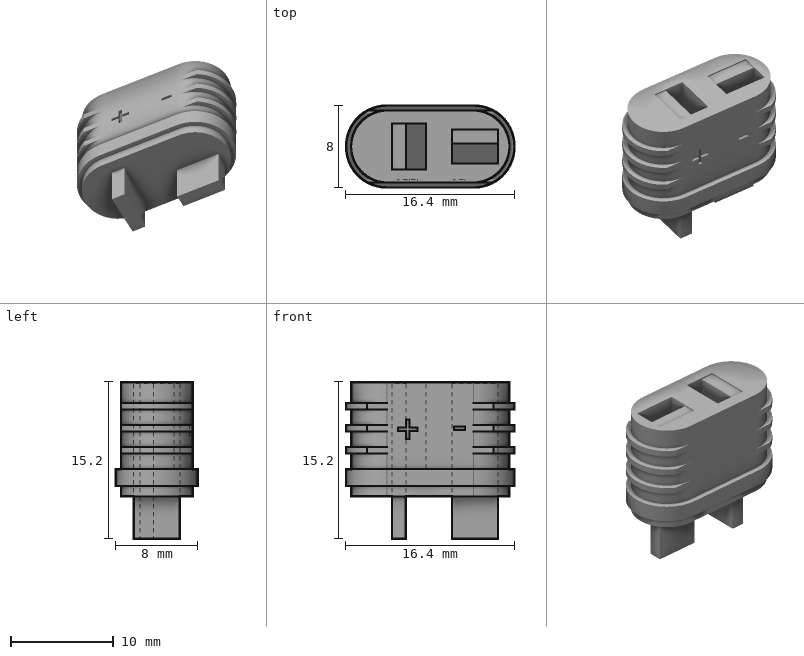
import cadquery as cq

center_spacing = 8.4
body_depth = 7.0
body_height = 11.12
rim = 0.5

flange_bottom = 1.0
flange_height = 1.67
flange_top = flange_bottom + flange_height
flange_depth = body_depth + 2 * rim

rib_count = 3
rib_height = 0.64
rib_gap = 1.5
rib_pitch = rib_height + rib_gap

blade_thickness = 1.35
blade_width = 4.5
overall_height = 15.25
blade_tip = body_height - overall_height
blade_recess = 0.15
blade_height = body_height - blade_recess - blade_tip

socket_span = 3.3
socket_floor = flange_top
positive_socket_left = -3.73
negative_socket_left = 2.1

mark_stroke = 0.35
mark_depth = 0.3
plus_size = 1.9
plus_x = -2.2
plus_z = 6.52
minus_length = 1.08
minus_x = 2.85
minus_z = 6.64


def round_ended_block(depth, bottom, height):
    """Upright block whose round ends share the housing's end axes."""
    return (
        cq.Workplane("XY", origin=(0, 0, bottom))
        .slot2D(center_spacing + depth, depth)
        .extrude(height)
    )


def corner_box(size, corner):
    """Box given by its size and its lowest X, Y, Z corner."""
    return cq.Workplane("XY").box(*size, centered=False).translate(corner)


def grip_rib(bottom):
    """Flange outline trimmed flush with the flat front and back faces."""
    full_rib = round_ended_block(flange_depth, bottom, rib_height)
    trim = cq.Workplane("XY", origin=(0, 0, bottom)).box(
        center_spacing + flange_depth, body_depth, rib_height, centered=(True, True, False)
    )
    return full_rib.intersect(trim)


def front_mark(length, height, x, z):
    """Bar-shaped cutter reaching into the front face."""
    return cq.Workplane("XY").box(length, 2 * mark_depth, height).translate((x, -body_depth / 2, z))


positive_socket_front = -blade_width / 2
negative_socket_front = -socket_span / 2

positive_blade = corner_box(
    (blade_thickness, blade_width, blade_height),
    (positive_socket_left, positive_socket_front, blade_tip),
)
negative_blade = corner_box(
    (blade_width, blade_thickness, blade_height),
    (negative_socket_left, socket_span / 2 - blade_thickness, blade_tip),
)

housing = round_ended_block(body_depth, 0, body_height)
housing = housing.union(round_ended_block(flange_depth, flange_bottom, flange_height))
for index in range(rib_count):
    housing = housing.union(grip_rib(flange_top + rib_gap + index * rib_pitch))

socket_depth = body_height - socket_floor
housing = housing.cut(
    corner_box(
        (socket_span, blade_width, socket_depth),
        (positive_socket_left, positive_socket_front, socket_floor),
    )
)
housing = housing.cut(
    corner_box(
        (blade_width, socket_span, socket_depth),
        (negative_socket_left, negative_socket_front, socket_floor),
    )
)

housing = housing.cut(positive_blade).cut(negative_blade)

housing = housing.cut(front_mark(plus_size, mark_stroke, plus_x, plus_z))
housing = housing.cut(front_mark(mark_stroke, plus_size, plus_x, plus_z))
housing = housing.cut(front_mark(minus_length, mark_stroke, minus_x, minus_z))

result = cq.Compound.makeCompound([housing.val(), positive_blade.val(), negative_blade.val()])